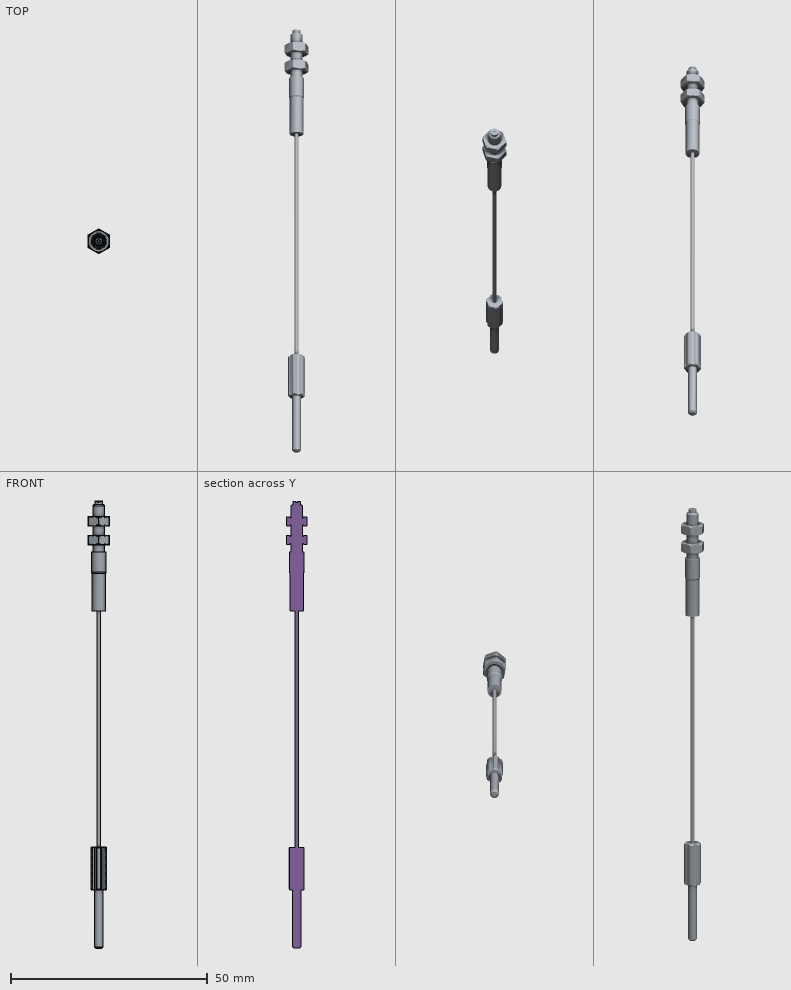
import cadquery as cq
import math

overall_length = 113.7
ferrule_length = 10.9
cable_length = 60.0
barrel_length = 15.05
thread_length = 12.0
tip_length = 0.9
pin_length = overall_length - (ferrule_length + cable_length + barrel_length + thread_length + tip_length)

ferrule_bottom = pin_length
ferrule_top = ferrule_bottom + ferrule_length
barrel_bottom = ferrule_top + cable_length
barrel_top = barrel_bottom + barrel_length
thread_top = barrel_top + thread_length

pin_radius = 1.1
pin_chamfer = 0.4

ferrule_radius = 2.12
flute_root_radius = 1.85
flute_count = 6
land_half_angle = 12.5
root_half_angle = 8.0
ferrule_chamfer = 0.25

cable_radius = 0.5

sleeve_radius = 1.75
collar_radius = 1.9
collar_length = 5.55
collar_bevel_width = 0.2
collar_bevel_height = 0.4

thread_radius = 1.5
thread_chamfer = 0.3
tip_radius = 1.0
tip_bore_radius = 0.3
tip_bore_depth = 0.3

nut_across_flats = 5.4
nut_height = 2.4
nut_chamfer_angle = 30.0
nut_countersink = 0.35
lower_nut_bottom = barrel_top + 1.8
upper_nut_bottom = barrel_top + 6.55


def rod(radius, bottom, length):
    """Plain round bar on the Z axis."""
    return cq.Workplane("XY").workplane(offset=bottom).circle(radius).extrude(length)


def polar(radius, angle):
    turn = math.radians(angle)
    return (radius * math.cos(turn), radius * math.sin(turn))


def make_pin():
    return rod(pin_radius, 0, pin_length).faces("<Z").chamfer(pin_chamfer)


def make_ferrule():
    """Round bar with flutes centred on the X axis and every pitch from it."""
    pitch = 360.0 / flute_count
    outline = cq.Workplane("XY").workplane(offset=ferrule_bottom)
    outline = outline.moveTo(*polar(flute_root_radius, -root_half_angle))
    for index in range(flute_count):
        flute = index * pitch
        root_end = polar(flute_root_radius, flute + root_half_angle)
        outline = outline.threePointArc(polar(flute_root_radius, flute), root_end)
        land = flute + pitch / 2
        land_end = polar(ferrule_radius, land + land_half_angle)
        outline = outline.lineTo(*polar(ferrule_radius, land - land_half_angle))
        outline = outline.threePointArc(polar(ferrule_radius, land), land_end)
        if index < flute_count - 1:
            outline = outline.lineTo(*polar(flute_root_radius, flute + pitch - root_half_angle))
    fluted = outline.close().extrude(ferrule_length)
    blank = rod(ferrule_radius, ferrule_bottom, ferrule_length)
    return fluted.intersect(blank.edges("%CIRCLE").chamfer(ferrule_chamfer))


def make_barrel():
    """Sleeve plus collar; the collar's underside bevels into the sleeve."""
    collar = rod(collar_radius, barrel_top - collar_length, collar_length)
    collar = collar.faces("<Z").chamfer(collar_bevel_height, collar_bevel_width)
    return rod(sleeve_radius, barrel_bottom, barrel_length).union(collar)


def make_threaded_end():
    thread = rod(thread_radius, barrel_top, thread_length).faces(">Z").chamfer(thread_chamfer)
    tip = rod(tip_radius, thread_top, tip_length)
    bore = rod(tip_bore_radius, overall_length - tip_bore_depth, tip_bore_depth)
    return thread.union(tip).cut(bore)


def make_nut(bottom):
    """Hexagon nut with chamfered corners and a countersunk bore at both ends."""
    corner_radius = nut_across_flats / 2 / math.cos(math.pi / 6)
    chamfer_width = corner_radius - nut_across_flats / 2
    chamfer_height = chamfer_width * math.tan(math.radians(nut_chamfer_angle))
    hexagon = cq.Workplane("XY").workplane(offset=bottom).polygon(6, 2 * corner_radius).extrude(nut_height)
    hexagon = hexagon.rotate((0, 0, 0), (0, 0, 1), 30)
    blank = rod(corner_radius, bottom, nut_height)
    blank = blank.edges("%CIRCLE").chamfer(chamfer_height, chamfer_width)
    bore = rod(thread_radius, bottom, nut_height)
    nut = hexagon.intersect(blank).cut(bore)
    bore_rims = cq.selectors.RadiusNthSelector(0)
    return nut.edges(bore_rims).chamfer(nut_countersink)


result = make_pin()
result = result.union(make_ferrule())
result = result.union(rod(cable_radius, ferrule_top, cable_length))
result = result.union(make_barrel())
result = result.union(make_threaded_end())
for nut_bottom in (lower_nut_bottom, upper_nut_bottom):
    result = result.union(make_nut(nut_bottom))